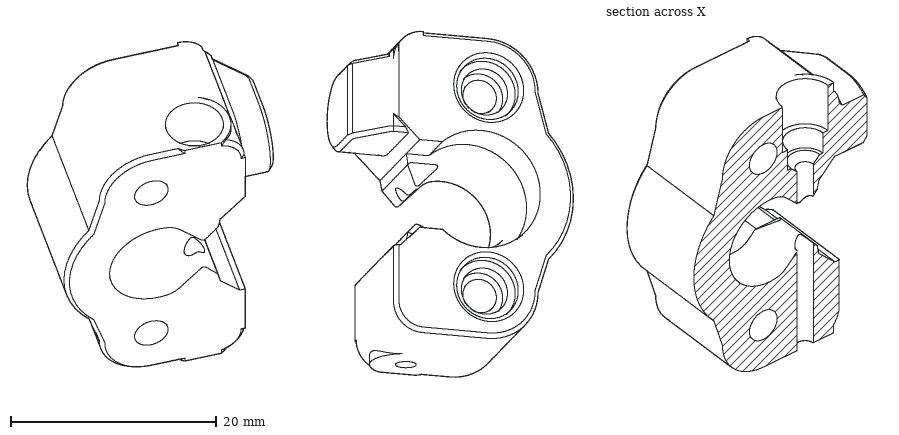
import cadquery as cq
import math

WIDTH = 13.8
EDGE_CHAMFER = 0.43
OVERLAP = 0.3
DIAGONAL = math.sqrt(0.5)

TOP_Z = 15.6
BOTTOM_Z = TOP_Z - 30.7
FRONT_Y = 8.8
BACK_RADIUS = 9.5
BACK_HALF_HEIGHT = 6.45
SHOULDER_RADIUS = 5.15
CORNER_RADIUS = 2.92
CORNER_Y = FRONT_Y - CORNER_RADIUS
LAND_WIDTH = 1.93

BORE_RADIUS = 6.0
MOUTH_HALF_HEIGHT = 4.48
MOUTH_Y = 6.25
LIP_RADIUS = 4.97
LIP_START_X = 4.73
LIP_ROUNDING = 0.4
LIP_BLEND_RADIUS = 2.45
TOOTH_HEEL_Y = 6.05
TOOTH_HEEL_Z = 3.45
TOOTH_TIP_Y = 4.57
TOOTH_TIP_Z = 1.8
TOOTH_TIP_RADIUS = 0.3
RAMP_START_Z = 3.62
RAMP_END_X = 6.97

BOLT_Y = -0.75
BOLT_Z = (TOP_Z - SHOULDER_RADIUS, BOTTOM_Z + SHOULDER_RADIUS)
BOLT_DIAMETER = 3.4
BOLT_STEPS = ((6.25, 1.47), (4.7, 3.13))
BOLT_MOUTH_CHAMFER = 0.43

SCREW_X = 10.78
SCREW_Y = 4.5
SCREW_BOSS_RADIUS = 3.55
SCREW_DIAMETER = 2.0
SCREW_STEPS = ((5.65, 5.53), (4.4, 7.98))
SCREW_CONE_DIAMETER = 3.6

LUG_TOP_Y = 12.28
LUG_RADIUS = 4.0
LUG_CENTER_X = 8.07
LUG_CENTER_Z = 9.35
LUG_SLOPE_START_X = 0.7
LUG_SLOPE_START_Y = 9.27
LUG_SLOPE_END_X = 4.1
LUG_ROOT_Y = 9.15
LUG_FLARE_DEPTH = 0.58


def box(x_range, y_range, z_range):
    """Axis-aligned block between the given limits."""
    (x0, x1), (y0, y1), (z0, z1) = x_range, y_range, z_range
    return cq.Workplane("XY").box(x1 - x0, y1 - y0, z1 - z0, centered=False).translate((x0, y0, z0))


def outer_prism():
    """Full outline extruded over the width, mouth not yet cut."""
    back_y = -math.sqrt(BACK_RADIUS**2 - BACK_HALF_HEIGHT**2)
    shoulder_y = BOLT_Y - SHOULDER_RADIUS
    shoulder_mid_y = BOLT_Y - SHOULDER_RADIUS * DIAGONAL
    corner_mid_y = CORNER_Y + CORNER_RADIUS * DIAGONAL
    shoulder_rise = SHOULDER_RADIUS * DIAGONAL
    corner_inset = CORNER_RADIUS * (1 - DIAGONAL)
    return (
        cq.Workplane("YZ")
        .moveTo(CORNER_Y, TOP_Z)
        .lineTo(BOLT_Y, TOP_Z)
        .threePointArc((shoulder_mid_y, BOLT_Z[0] + shoulder_rise), (shoulder_y, BOLT_Z[0]))
        .lineTo(back_y, BACK_HALF_HEIGHT)
        .threePointArc((-BACK_RADIUS, 0), (back_y, -BACK_HALF_HEIGHT))
        .lineTo(shoulder_y, BOLT_Z[1])
        .threePointArc((shoulder_mid_y, BOLT_Z[1] - shoulder_rise), (BOLT_Y, BOTTOM_Z))
        .lineTo(CORNER_Y, BOTTOM_Z)
        .threePointArc((corner_mid_y, BOTTOM_Z + corner_inset), (FRONT_Y, BOTTOM_Z + CORNER_RADIUS))
        .lineTo(FRONT_Y, TOP_Z - CORNER_RADIUS)
        .threePointArc((corner_mid_y, TOP_Z - corner_inset), (CORNER_Y, TOP_Z))
        .close()
        .extrude(WIDTH)
    )


def chamfered_block():
    """Outer prism with chamfered ends, except where the edges stay sharp."""
    plain = outer_prism()
    block = plain.faces("<X or >X").edges().chamfer(EDGE_CHAMFER)
    corner_land = box(
        (0, LAND_WIDTH), (CORNER_Y, FRONT_Y - EDGE_CHAMFER), (TOP_Z - CORNER_RADIUS, TOP_Z)
    )
    front_edge = box(
        (WIDTH / 2, WIDTH),
        (CORNER_Y, FRONT_Y),
        (BOTTOM_Z + CORNER_RADIUS, TOP_Z - CORNER_RADIUS),
    )
    return block.union(plain.intersect(corner_land)).union(plain.intersect(front_edge))


def screw_boss():
    """Full-height column around the clamping screw, trimmed flush with the +X face."""
    column = (
        cq.Workplane("XY", origin=(SCREW_X, SCREW_Y, BOTTOM_Z))
        .circle(SCREW_BOSS_RADIUS)
        .extrude(TOP_Z - BOTTOM_Z)
    )
    return column.intersect(box((0, WIDTH), (0, FRONT_Y), (BOTTOM_Z, TOP_Z)))


def round_ended_slot(y, depth, taper=0):
    """Slot outline with a round +X end, extruded from the given Y towards -Y."""
    return (
        cq.Workplane("XZ", origin=(0, y, LUG_CENTER_Z))
        .moveTo(0, LUG_RADIUS)
        .lineTo(LUG_CENTER_X, LUG_RADIUS)
        .threePointArc((LUG_CENTER_X + LUG_RADIUS, 0), (LUG_CENTER_X, -LUG_RADIUS))
        .lineTo(0, -LUG_RADIUS)
        .close()
        .extrude(depth, taper=taper)
    )


def lug():
    """Round-ended lug with a sloped -X end, a chamfered rim and a flared root."""
    slope_cut = (
        cq.Workplane("XY")
        .polyline([
            (-LUG_FLARE_DEPTH - OVERLAP, 0),
            (EDGE_CHAMFER, 0),
            (EDGE_CHAMFER, FRONT_Y),
            (LUG_SLOPE_START_X, LUG_SLOPE_START_Y),
            (LUG_SLOPE_END_X, LUG_TOP_Y),
            (-LUG_FLARE_DEPTH - OVERLAP, LUG_TOP_Y),
        ])
        .close()
        .extrude(TOP_Z)
    )
    block = round_ended_slot(LUG_TOP_Y, LUG_TOP_Y - CORNER_Y).cut(slope_cut)
    sloped_end = cq.selectors.BoxSelector((0, CORNER_Y, 0), (LUG_SLOPE_END_X, LUG_TOP_Y, TOP_Z))
    side_edges = block.edges(sloped_end).edges("not |Z")
    block = block.faces(">Y").edges().add(side_edges).chamfer(EDGE_CHAMFER)
    flare = round_ended_slot(LUG_ROOT_Y, LUG_FLARE_DEPTH, taper=-45).cut(slope_cut).cut(mouth())
    return block.union(flare)


def mouth():
    """Wide bore with its mouth, flaring at 45 degrees towards +Y."""
    bore = cq.Workplane("YZ").circle(BORE_RADIUS).extrude(WIDTH)
    flare = BACK_HALF_HEIGHT - MOUTH_HALF_HEIGHT
    outside_y = LUG_ROOT_Y
    run = outside_y - MOUTH_Y
    slot = (
        cq.Workplane("YZ")
        .polyline([
            (0, MOUTH_HALF_HEIGHT),
            (MOUTH_Y, MOUTH_HALF_HEIGHT),
            (outside_y, MOUTH_HALF_HEIGHT + run),
            (outside_y, -BACK_HALF_HEIGHT),
            (MOUTH_Y + flare, -BACK_HALF_HEIGHT),
            (MOUTH_Y, -MOUTH_HALF_HEIGHT),
            (0, -MOUTH_HALF_HEIGHT),
        ])
        .close()
        .extrude(WIDTH)
    )
    return bore.union(slot)


def along_x(y, z):
    """Selector for the edge that runs along the lip at the given Y and Z."""
    return cq.selectors.NearestToPointSelector(((LIP_START_X + WIDTH) / 2, y, z))


def lip():
    """Inner ring ending in two teeth that narrow the mouth."""
    length = WIDTH - LIP_START_X
    tangent_distance = (TOOTH_TIP_Y + TOOTH_TIP_Z) * DIAGONAL
    half_chord = math.sqrt(LIP_RADIUS**2 - tangent_distance**2)
    inner_y = (tangent_distance - half_chord) * DIAGONAL
    inner_z = (tangent_distance + half_chord) * DIAGONAL
    outer_z = MOUTH_HALF_HEIGHT + OVERLAP
    ring = (
        cq.Workplane("YZ", origin=(LIP_START_X, 0, 0))
        .moveTo(inner_y, inner_z)
        .lineTo(TOOTH_TIP_Y, TOOTH_TIP_Z)
        .lineTo(TOOTH_HEEL_Y, TOOTH_HEEL_Z)
        .lineTo(MOUTH_Y, MOUTH_HALF_HEIGHT)
        .lineTo(MOUTH_Y, outer_z)
        .lineTo(inner_y, BORE_RADIUS + OVERLAP)
        .threePointArc((-BORE_RADIUS - OVERLAP, 0), (inner_y, -BORE_RADIUS - OVERLAP))
        .lineTo(MOUTH_Y, -outer_z)
        .lineTo(MOUTH_Y, -MOUTH_HALF_HEIGHT)
        .lineTo(TOOTH_HEEL_Y, -TOOTH_HEEL_Z)
        .lineTo(TOOTH_TIP_Y, -TOOTH_TIP_Z)
        .lineTo(inner_y, -inner_z)
        .threePointArc((-LIP_RADIUS, 0), (inner_y, inner_z))
        .close()
        .extrude(length)
    )
    for side in (1, -1):
        ring = ring.edges(along_x(inner_y, side * inner_z)).fillet(LIP_BLEND_RADIUS)
        ring = ring.edges(along_x(TOOTH_TIP_Y, side * TOOTH_TIP_Z)).fillet(TOOTH_TIP_RADIUS)
    flank_middle = (LIP_START_X, (inner_y + TOOTH_TIP_Y) / 2, (inner_z + TOOTH_TIP_Z) / 2)
    flank_edge = cq.selectors.NearestToPointSelector(flank_middle)
    ring = ring.faces("<X").edges(flank_edge).fillet(LIP_ROUNDING)
    ramp = (
        cq.Workplane("XZ", origin=(0, TOOTH_HEEL_Y, 0))
        .polyline([
            (LIP_START_X, RAMP_START_Z),
            (RAMP_END_X, TOOTH_TIP_Z),
            (RAMP_END_X, -TOOTH_TIP_Z),
            (LIP_START_X, -RAMP_START_Z),
        ])
        .close()
        .extrude(TOOTH_HEEL_Y)
    )
    return ring.cut(ramp)


def bolt_hole(z):
    """Stepped cross bolt hole entered from the -X face."""
    start = cq.Workplane("YZ", origin=(0, BOLT_Y, z))
    hole = start.circle(BOLT_DIAMETER / 2).extrude(WIDTH)
    for diameter, depth in BOLT_STEPS:
        hole = hole.union(start.circle(diameter / 2).extrude(depth))
    mouth_radius = BOLT_STEPS[0][0] / 2
    entry = (
        start.circle(mouth_radius + BOLT_MOUTH_CHAMFER)
        .extrude(BOLT_MOUTH_CHAMFER, taper=45)
    )
    return hole.union(entry)


def screw_hole():
    """Stepped clamping screw hole through both jaws, entered from the top."""
    drop = (SCREW_CONE_DIAMETER - SCREW_DIAMETER) / 2
    (head_diameter, head_depth), (neck_diameter, neck_depth) = SCREW_STEPS
    axis = cq.Workplane("XZ", origin=(SCREW_X, SCREW_Y, 0))
    return (
        axis.polyline([
            (0, TOP_Z),
            (head_diameter / 2, TOP_Z),
            (head_diameter / 2, TOP_Z - head_depth),
            (neck_diameter / 2, TOP_Z - head_depth),
            (neck_diameter / 2, TOP_Z - neck_depth),
            (SCREW_CONE_DIAMETER / 2, TOP_Z - neck_depth),
            (SCREW_DIAMETER / 2, TOP_Z - neck_depth - drop),
            (SCREW_DIAMETER / 2, BOTTOM_Z),
            (0, BOTTOM_Z),
        ])
        .close()
        .revolve(360, (0, 0, 0), (0, 1, 0))
    )


body = chamfered_block().union(screw_boss()).cut(mouth())
body = body.union(lug()).union(lip())
for bolt_z in BOLT_Z:
    body = body.cut(bolt_hole(bolt_z))
result = body.cut(screw_hole())